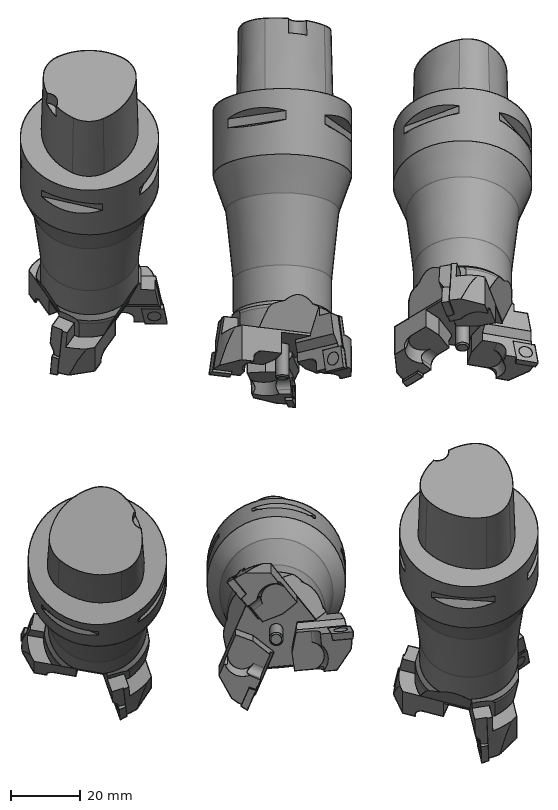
import cadquery as cq
import math

TOP_Z = 107.0
SHOULDER_Z = 83.0
COLLAR_BOTTOM_Z = 63.0
UPPER_CONE_BOTTOM_Z = 52.4
NECK_TOP_Z = 31.1
HEAD_TOP_Z = 20.3
HEAD_CHAMFER_BOTTOM_Z = 18.9
HEAD_RIM_Z = 18.0
HEAD_BOTTOM_Z = 11.5

COLLAR_RADIUS = 40.0 / 2
WAIST_RADIUS = 16.4
NECK_RADIUS = 28.5 / 2
HEAD_CHAMFER_RADIUS = 15.4
HEAD_RADIUS = 15.6

CORNER_CENTRE_RADIUS = 5.6
CORNER_ANGLES = (90, 210, 330)
CORNER_HALF_ANGLE = 30
CORNER_RADIUS = 9.2
SHANK_TAPER = math.degrees(math.atan(1 / 40))
NOTCH_RADIUS = 3.3
NOTCH_CENTRE_Y = -14.2
NOTCH_DEPTH = 4.5

GROOVE_ANGLES = (45, 135, 225, 315)
GROOVE_MID_Z = 75.0
GROOVE_FLOOR_WIDTH = 2.7
GROOVE_MOUTH_WIDTH = 5.2
GROOVE_FLOOR_DISTANCE = 17.8

TOOTH_ANGLES = (180, 302.5, 61)
UPPER_RAKE_Y = -1.9
LOWER_RAKE_Y = -0.5
RAKE_STEP_TOP_Z = 10.4
RAKE_STEP_BOTTOM_Z = 7.8
POST_BACK_Y = 3.2
POST_TOP_Z = 17.0
POST_FOOT_Z = HEAD_BOTTOM_Z
TOOTH_BACK_Y = 10.9
TOOTH_BACK_TOP_Z = 12.2
TOOTH_BACK_BOTTOM_Z = 1.6
TOOTH_RAKE_BOTTOM_Z = 0.9
TOOTH_BACK_INNER_X = 4.3
TOOTH_BEND = (4.1, 5.6)
TOOTH_RAKE_INNER_X = 6.2
TOOTH_BACK_OUTER_X = 16.6
TOOTH_BEVEL_END = (21.4, 4.8)
TOOTH_TOP_RADIUS = 19.4
TOOTH_BOTTOM_RADIUS = 22.0
LAND_BACK_Y = 1.6
LAND_RECESS = 0.4
ARCH_OUTER_X = 12.8
ARCH_TOP_Z = 5.0
ARCH_FILLET = 2.7
SCALLOP_CENTRE = (9.1, 6.8)
SCALLOP_BOTTOM_RADIUS = 5.8
SCALLOP_TOP_RADIUS = 4.2
SEAT_FLAT_X = 14.9
SEAT_FLAT_BACK_Y = 5.4

GULLET_TOP_Z = 22.4

PIN_DIAMETER = 4.0
PIN_BOTTOM_Z = 1.4
PIN_CHAMFER = 0.4

INSERT_TOP_Z = 6.7
INSERT_TOP_X = (15.0, 21.5)
INSERT_BOTTOM_X = (16.0, 22.5)
INSERT_THICKNESS = 2.1
INSERT_CLEARANCE = 7.0
SCREW_X = 18.7
SCREW_Z = 3.4
SCREW_HEAD_DIAMETER = 4.0
SCREW_HEAD_DEPTH = 1.1
SCREW_SHANK_DIAMETER = 2.8
SCREW_LENGTH = 5.9

REACH = 32.1


def turned(shape, angle):
    return shape.rotate((0, 0, 0), (0, 0, 1), angle)


def polar(radius, angle):
    return (radius * math.cos(math.radians(angle)), radius * math.sin(math.radians(angle)))


def prism_along_x(yz_points, start, end):
    return cq.Workplane("YZ", origin=(start, 0, 0)).polyline(yz_points).close().extrude(end - start)


def make_turned_body():
    profile = [
        (0, HEAD_BOTTOM_Z),
        (HEAD_RADIUS, HEAD_BOTTOM_Z),
        (HEAD_RADIUS, HEAD_RIM_Z),
        (HEAD_CHAMFER_RADIUS, HEAD_CHAMFER_BOTTOM_Z),
        (NECK_RADIUS, HEAD_TOP_Z),
        (NECK_RADIUS, NECK_TOP_Z),
        (WAIST_RADIUS, UPPER_CONE_BOTTOM_Z),
        (COLLAR_RADIUS, COLLAR_BOTTOM_Z),
        (COLLAR_RADIUS, SHOULDER_Z),
        (0, SHOULDER_Z),
    ]
    return cq.Workplane("XZ").polyline(profile).close().revolve(360, (0, 0, 0), (0, 1, 0))


def make_shank():
    wide_radius = CORNER_RADIUS + CORNER_CENTRE_RADIUS * math.sqrt(3)
    side_middle = wide_radius - CORNER_CENTRE_RADIUS

    def seam(corner_angle, offset):
        centre = polar(CORNER_CENTRE_RADIUS, corner_angle)
        rim = polar(CORNER_RADIUS, corner_angle + offset)
        return (centre[0] + rim[0], centre[1] + rim[1])

    outline = cq.Workplane("XY", origin=(0, 0, SHOULDER_Z))
    outline = outline.moveTo(*seam(CORNER_ANGLES[0], -CORNER_HALF_ANGLE))
    pitch = 360 / len(CORNER_ANGLES)
    for corner_angle in CORNER_ANGLES:
        corner_tip = polar(CORNER_CENTRE_RADIUS + CORNER_RADIUS, corner_angle)
        side_tip = polar(side_middle, corner_angle + pitch / 2)
        outline = outline.threePointArc(corner_tip, seam(corner_angle, CORNER_HALF_ANGLE))
        outline = outline.threePointArc(side_tip, seam(corner_angle + pitch, -CORNER_HALF_ANGLE))
    shank = outline.close().extrude(TOP_Z - SHOULDER_Z, taper=SHANK_TAPER)
    notch = (
        cq.Workplane("XY", origin=(0, NOTCH_CENTRE_Y, TOP_Z - NOTCH_DEPTH))
        .circle(NOTCH_RADIUS)
        .extrude(NOTCH_DEPTH)
    )
    return shank.cut(notch)


def make_groove(angle):
    depth = COLLAR_RADIUS - GROOVE_FLOOR_DISTANCE
    floor = GROOVE_FLOOR_WIDTH / 2
    mouth = GROOVE_MOUTH_WIDTH / 2
    groove = (
        cq.Workplane("XZ", origin=(GROOVE_FLOOR_DISTANCE, REACH, GROOVE_MID_Z))
        .polyline([(0, -floor), (depth, -mouth), (depth, mouth), (0, floor)])
        .close()
        .extrude(2 * REACH)
    )
    return turned(groove, angle)


def make_gullet(angle, next_angle):
    """Space between the back of one tooth and the rake face of the next."""
    wall = [
        (TOOTH_BACK_Y, 0),
        (TOOTH_BACK_Y, TOOTH_BACK_TOP_Z),
        (NECK_RADIUS, GULLET_TOP_Z),
        (REACH, GULLET_TOP_Z),
        (REACH, 0),
    ]
    behind_tooth = turned(prism_along_x(wall, -REACH, REACH), angle)
    ahead_of_rake = cq.Workplane("XY").box(2 * REACH, REACH, REACH, centered=(True, False, False))
    ahead_of_rake = turned(ahead_of_rake.translate((0, UPPER_RAKE_Y - REACH, 0)), next_angle)
    return behind_tooth.intersect(ahead_of_rake)


def make_seat_flat(angle):
    """Flat on the head rim from which the post of a tooth stands out."""
    flat = cq.Workplane("XY").box(REACH, 2 * SEAT_FLAT_BACK_Y, HEAD_TOP_Z, centered=(False, True, False))
    return turned(flat.translate((SEAT_FLAT_X, 0, 0)), angle)


def make_tooth_cone():
    cone = [(0, 0), (TOOTH_BOTTOM_RADIUS, 0), (TOOTH_TOP_RADIUS, POST_TOP_Z), (0, POST_TOP_Z)]
    return cq.Workplane("XZ").polyline(cone).close().revolve(360, (0, 0, 0), (0, 1, 0))


def make_arch():
    """Filleted arch under the inner half of a tooth, widened by a conical scallop."""
    arch = (
        cq.Workplane("XY")
        .box(ARCH_OUTER_X, 2 * REACH, ARCH_TOP_Z, centered=(False, True, False))
        .edges("|Y and >X and >Z")
        .fillet(ARCH_FILLET)
    )
    scallop = (
        cq.Workplane("XY", origin=(*SCALLOP_CENTRE, 0))
        .circle(SCALLOP_BOTTOM_RADIUS)
        .workplane(offset=ARCH_TOP_Z)
        .circle(SCALLOP_TOP_RADIUS)
        .loft()
    )
    return arch.union(scallop)


def make_outside_of_land():
    """Space outside the flat leaning land behind the rake face."""
    section = [
        (TOOTH_BOTTOM_RADIUS - LAND_RECESS, 0),
        (TOOTH_TOP_RADIUS - LAND_RECESS, POST_TOP_Z),
        (REACH, POST_TOP_Z),
        (REACH, 0),
    ]
    return cq.Workplane("XZ", origin=(0, LAND_BACK_Y, 0)).polyline(section).close().extrude(REACH)


def make_tooth(angle):
    side_profile = [
        (UPPER_RAKE_Y, RAKE_STEP_TOP_Z),
        (UPPER_RAKE_Y, POST_TOP_Z),
        (POST_BACK_Y, POST_TOP_Z),
        (POST_BACK_Y, POST_FOOT_Z),
        (TOOTH_BACK_Y, TOOTH_BACK_TOP_Z),
        (TOOTH_BACK_Y, TOOTH_BACK_BOTTOM_Z),
        (LOWER_RAKE_Y, TOOTH_RAKE_BOTTOM_Z),
        (LOWER_RAKE_Y, RAKE_STEP_BOTTOM_Z),
    ]
    plan = [
        (TOOTH_RAKE_INNER_X, UPPER_RAKE_Y),
        TOOTH_BEND,
        (TOOTH_BACK_INNER_X, TOOTH_BACK_Y),
        (TOOTH_BACK_OUTER_X, TOOTH_BACK_Y),
        TOOTH_BEVEL_END,
        (REACH, TOOTH_BEVEL_END[1]),
        (REACH, UPPER_RAKE_Y),
    ]
    tooth = prism_along_x(side_profile, 0, REACH)
    tooth = tooth.intersect(cq.Workplane("XY").polyline(plan).close().extrude(POST_TOP_Z))
    tooth = tooth.intersect(make_tooth_cone())
    return turned(tooth.cut(make_arch()).cut(make_outside_of_land()), angle)


def make_pin():
    pin = cq.Workplane("XY", origin=(0, 0, PIN_BOTTOM_Z)).circle(PIN_DIAMETER / 2)
    return pin.extrude(HEAD_TOP_Z - PIN_BOTTOM_Z).faces("<Z").chamfer(PIN_CHAMFER)


def make_screw(angle):
    head_plane = cq.Workplane("XZ", origin=(SCREW_X, LOWER_RAKE_Y, SCREW_Z))
    screw = head_plane.circle(SCREW_HEAD_DIAMETER / 2).extrude(-SCREW_HEAD_DEPTH)
    screw = screw.union(head_plane.circle(SCREW_SHANK_DIAMETER / 2).extrude(-SCREW_LENGTH))
    return turned(screw, angle)


def make_insert_blank(angle):
    """Insert without its screw hole, which is also the shape of its pocket."""
    outline = [
        (INSERT_BOTTOM_X[0], 0),
        (INSERT_BOTTOM_X[1], 0),
        (INSERT_TOP_X[1], INSERT_TOP_Z),
        (INSERT_TOP_X[0], INSERT_TOP_Z),
    ]
    blank = (
        cq.Workplane("XZ", origin=(0, LOWER_RAKE_Y, 0))
        .polyline(outline)
        .close()
        .extrude(-INSERT_THICKNESS, taper=INSERT_CLEARANCE)
    )
    return turned(blank, angle)


def make_body():
    body = make_turned_body()
    for index, angle in enumerate(TOOTH_ANGLES):
        next_angle = TOOTH_ANGLES[(index + 1) % len(TOOTH_ANGLES)]
        body = body.cut(make_gullet(angle, next_angle))
        body = body.cut(make_seat_flat(angle))
    for angle in TOOTH_ANGLES:
        body = body.union(make_tooth(angle))
    for angle in TOOTH_ANGLES:
        body = body.cut(make_insert_blank(angle)).cut(make_screw(angle))
    for angle in GROOVE_ANGLES:
        body = body.cut(make_groove(angle))
    return body.union(make_shank()).union(make_pin())


body = make_body()
screws = [make_screw(angle) for angle in TOOTH_ANGLES]
inserts = [make_insert_blank(angle).cut(make_screw(angle)) for angle in TOOTH_ANGLES]

result = cq.Compound.makeCompound(
    [body.val(), *[insert.val() for insert in inserts], *[screw.val() for screw in screws]]
)